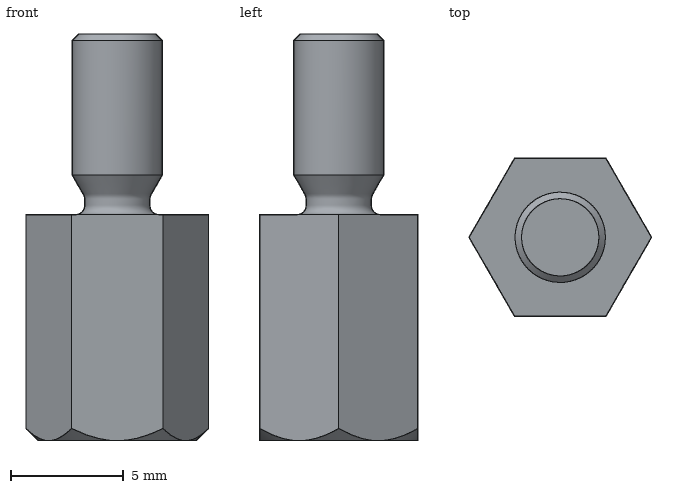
import cadquery as cq
import math

total_height = 18
across_flats = 7.0
hex_height = 10.0
stud_radius = 4.0 / 2
neck_radius = 2.9 / 2

tip_chamfer = 0.29
relief_height = 1.75
relief_angle = math.radians(30)
relief_round = 0.4

across_corners = across_flats / math.cos(math.radians(30))
corner_radius = across_corners / 2
base_radius = across_flats / 2


def hex_body():
    """Hexagonal prism with its lower corners turned off by a 45 degree cone."""
    prism = cq.Workplane("XY").polygon(6, across_corners).extrude(hex_height)
    cone_height = corner_radius - base_radius
    turned_envelope = (
        cq.Workplane("XZ")
        .moveTo(0, 0)
        .lineTo(base_radius, 0)
        .lineTo(corner_radius, cone_height)
        .lineTo(corner_radius, hex_height)
        .lineTo(0, hex_height)
        .close()
        .revolve(360, (0, 0), (0, 1))
    )
    return prism.intersect(turned_envelope)


def stud():
    """Revolved stud: rounded neck, conical flare, cylinder and chamfered tip."""
    flare_top = hex_height + relief_height
    flare_bottom = flare_top - (stud_radius - neck_radius) / math.tan(relief_angle)

    round_start = flare_bottom - relief_round * math.tan(relief_angle / 2)
    round_center_radius = neck_radius + relief_round

    def upper_round_point(angle):
        return (
            round_center_radius - relief_round * math.cos(angle),
            round_start + relief_round * math.sin(angle),
        )

    lower_round_mid = (
        neck_radius + relief_round * (1 - math.sqrt(0.5)),
        hex_height + relief_round * (1 - math.sqrt(0.5)),
    )

    return (
        cq.Workplane("XZ")
        .moveTo(0, hex_height)
        .lineTo(neck_radius + relief_round, hex_height)
        .threePointArc(lower_round_mid, (neck_radius, hex_height + relief_round))
        .lineTo(neck_radius, round_start)
        .threePointArc(upper_round_point(relief_angle / 2), upper_round_point(relief_angle))
        .lineTo(stud_radius, flare_top)
        .lineTo(stud_radius, total_height - tip_chamfer)
        .lineTo(stud_radius - tip_chamfer, total_height)
        .lineTo(0, total_height)
        .close()
        .revolve(360, (0, 0), (0, 1))
    )


result = hex_body().union(stud())